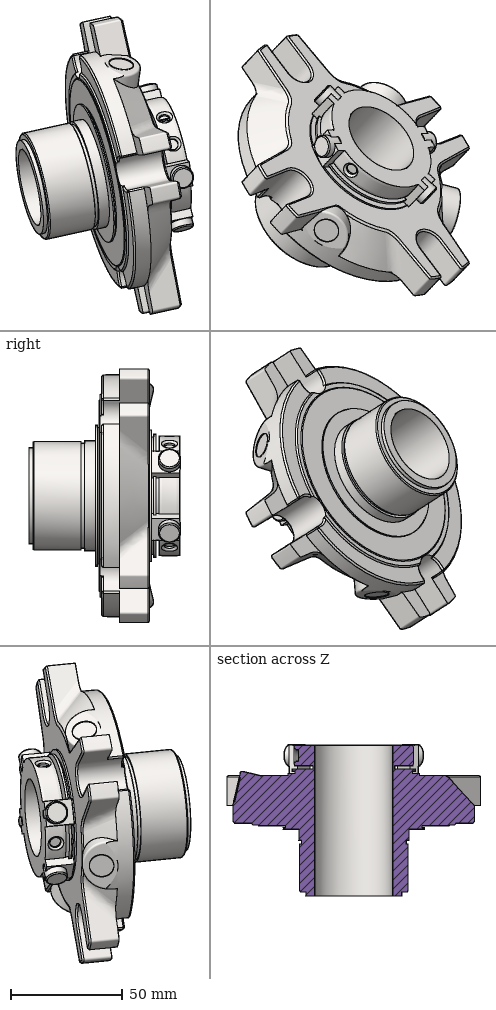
import cadquery as cq
import math

COLLAR_BACK = 27.2
COLLAR_FRONT = 17.9
RING_BACK = 16.5
RING_FRONT = 15.4
PLATE_BACK = 14.5
BODY_BACK = 13.7
FLANGE_FRONT = -8.0
PILOT_FRONT = -8.8
PILOT_STEP_FRONT = -9.1
DISC_BACK = -9.9
DISC_FRONT = -10.7
SHOULDER_FRONT = -15.6
HUB_BACK = -17.2
HUB_FRONT = -38.8
HUB_END = -40.6

BORE_R = 34.9 / 2
SLEEVE_R = 37.0 / 2
COLLAR_R = 53.9 / 2
COLLAR_END_R = COLLAR_R - 0.2
COLLAR_BEVEL = 1.4
RING_R = 55.4 / 2
RING_SEAT_R = 26.4
PLATE_R = 29.6
CONE_SMALL_R = 41.9
FLANGE_R = 54.4
FLANGE_CHAMFER = 0.8
PILOT_R = 46.0
PILOT_CHAMFER = 0.6
PILOT_STEP_R = 43.2
PILOT_STEP_CHAMFER = 0.5
DISC_R = 31.7
DISC_NECK_R = 30.7
SHOULDER_R = 49.6 / 2
HUB_GROOVE_R = 47.2 / 2
HUB_R = 48.9 / 2
HUB_CHAMFER = 0.6
HUB_END_R = 43.2 / 2

LUG_ANGLES = (45, 135, 225, 315)
LUG_TIP_R = 67.5
LUG_TIP_HALF_WIDTH = 15.0
LUG_TAPER_ANGLE = 4.7
LUG_ROOT_R = 34.1
LUG_CORNER_R = 1.0
LUG_BACK_CHAMFER = 0.8
LUG_ROOT_FILLET = 5.2
COVERED_ROOT_FILLET = 1.1
SLOT_WIDTH = 14.8
SLOT_BOTTOM_R = 43.2

PORT_ANGLES = (108, 180, 288)
PORT_COVER_ANGLE = 10
PORT_TILT = 13
PORT_HEIGHT = 7.2
PORT_BOSS_Y = 3.9
PORT_BOSS_R = 12.1
PORT_LENGTH = 15.9
PORT_EDGE_ROUND = 0.9
PORT_RECESS_DIA = 11.0
PORT_RECESS_DEPTH = 0.5

CLIP_ANGLES = (30, 150, 210, 330)
CLIP_INNER_R = 25.9
CLIP_OUTER_R = 30.1
CLIP_WIDTH = 11.4
SCREW_Y = 22.5
SCREW_HEAD_DIA = 10.0
SCREW_HEAD_R = 33.7
SCREW_HEAD_CHAMFER = 0.6

SET_SCREW_ANGLES = (60, 90, 180, 300)
SLOTTED_SCREW_ANGLE = 90
SET_SCREW_DIA = 5.0
SET_SCREW_SINK_DIA = 7.3
SET_SCREW_SINK_DEPTH = 1.1
SET_SCREW_DEPTH = 2.0
DRIVE_SLOT_WIDTH = 1.4
DRIVE_SLOT_DEPTH = 0.7


def radial_plane(angle, radius, y, tilt=0):
    """Plane facing outward at an angle in XZ, its local y leaning along +Y; tilt turns it towards +Y."""
    a = math.radians(angle)
    t = math.radians(tilt)
    normal = (math.cos(a) * math.cos(t), math.sin(t), math.sin(a) * math.cos(t))
    tangent = (math.sin(a), 0, -math.cos(a))
    origin = (radius * math.cos(a), y, radius * math.sin(a))
    return cq.Plane(origin=origin, xDir=tangent, normal=normal)


def revolve_about_y(points):
    """Solid of revolution about Y from (radius, y) points."""
    return cq.Workplane("XY").polyline(points).close().revolve(360, (0, 0, 0), (0, 1, 0))


def make_body():
    """Conical back of the gland, from the flange to the back face."""
    return revolve_about_y(
        [(0, 0), (FLANGE_R, 0), (CONE_SMALL_R, BODY_BACK), (0, BODY_BACK)]
    )


def make_lug(angle):
    """Tapered block that carries one bolt slot, with a rounded tip."""
    taper = math.tan(math.radians(LUG_TAPER_ANGLE))
    half_at_axis = LUG_TIP_HALF_WIDTH + LUG_TIP_R * taper
    reach = LUG_TIP_R * 1.1
    root_half = half_at_axis - LUG_ROOT_R * taper
    tip_half = half_at_axis - reach * taper
    block = (
        cq.Workplane("XZ")
        .polyline([(LUG_ROOT_R, -root_half), (reach, -tip_half), (reach, tip_half), (LUG_ROOT_R, root_half)])
        .close()
        .extrude(-BODY_BACK)
    )
    tip_disc = cq.Workplane("XZ").circle(LUG_TIP_R).extrude(-BODY_BACK)
    return block.intersect(tip_disc).rotate((0, 0, 0), (0, 1, 0), -angle)


def make_slot(angle):
    """Cutter for one open-ended bolt slot."""
    depth = BODY_BACK - DISC_FRONT
    centre = SLOT_BOTTOM_R + SLOT_WIDTH / 2
    length = LUG_TIP_R * 1.1
    cutter = (
        cq.Workplane("XZ", origin=(0, BODY_BACK, 0))
        .center(centre + length / 2, 0)
        .slot2D(length + SLOT_WIDTH, SLOT_WIDTH)
        .extrude(depth)
    )
    return cutter.rotate((0, 0, 0), (0, 1, 0), -angle)


def is_lug_root(edge):
    """True for the curve where a lug flank meets the cone."""
    centre = edge.Center()
    full_depth = edge.BoundingBox().ylen > BODY_BACK - 0.01
    return full_depth and math.hypot(centre.x, centre.z) < FLANGE_R


def is_under_port(edge):
    """True for an edge that a port boss covers."""
    centre = edge.Center()
    bearing = math.degrees(math.atan2(centre.z, centre.x)) % 360
    return any(abs(bearing - angle) < PORT_COVER_ANGLE for angle in PORT_ANGLES)


def is_lug_corner(edge):
    """True for the corners at a lug tip."""
    centre = edge.Center()
    full_depth = edge.BoundingBox().ylen > BODY_BACK - 0.01
    return full_depth and math.hypot(centre.x, centre.z) > LUG_TIP_R - 1.1


def is_rim_corner(edge):
    """True for the corners where a slot breaks out through the flange rim."""
    centre = edge.Center()
    return math.hypot(centre.x, centre.z) > FLANGE_R - FLANGE_CHAMFER


def make_gland_back():
    """Body behind the seating face: the cone and its slotted lugs."""
    gland = make_body()
    for angle in LUG_ANGLES:
        gland = gland.union(make_lug(angle))
    roots = [edge for edge in gland.edges().vals() if is_lug_root(edge)]
    gland = gland.newObject([edge for edge in roots if not is_under_port(edge)]).fillet(LUG_ROOT_FILLET)
    roots = [edge for edge in gland.edges().vals() if is_lug_root(edge) and is_under_port(edge)]
    gland = gland.newObject(roots).fillet(COVERED_ROOT_FILLET)
    for angle in LUG_ANGLES:
        gland = gland.cut(make_slot(angle))
    gland = gland.newObject([e for e in gland.edges().vals() if is_lug_corner(e)]).fillet(LUG_CORNER_R)
    gland = gland.faces(">Y").edges().chamfer(LUG_BACK_CHAMFER)
    return gland


def make_port(angle):
    """Boss with a half-round top, its tilted face carrying a shallow round recess."""
    face = radial_plane(angle, FLANGE_R, 0, PORT_TILT)
    slant = math.cos(math.radians(PORT_TILT))
    boss_centre = PORT_BOSS_Y / slant
    recess_centre = PORT_HEIGHT / slant
    boss = (
        cq.Workplane(face)
        .moveTo(-PORT_BOSS_R, -PORT_BOSS_R)
        .lineTo(PORT_BOSS_R, -PORT_BOSS_R)
        .lineTo(PORT_BOSS_R, boss_centre)
        .threePointArc((0, boss_centre + PORT_BOSS_R), (-PORT_BOSS_R, boss_centre))
        .close()
        .extrude(-PORT_LENGTH)
        .faces(cq.selectors.DirectionMinMaxSelector(face.zDir, True))
        .edges()
        .fillet(PORT_EDGE_ROUND)
    )
    recess = (
        cq.Workplane(face).center(0, recess_centre).circle(PORT_RECESS_DIA / 2).extrude(-PORT_RECESS_DEPTH)
    )
    envelope = cq.Workplane("XZ").circle(FLANGE_R).extrude(-2 * BODY_BACK)
    return boss.cut(recess).intersect(envelope)


def make_flange_front():
    """Flange rim, stepped pilot and thin disc in front of the seating face."""
    rim = cq.Workplane("XZ").circle(FLANGE_R).extrude(-FLANGE_FRONT)
    for angle in LUG_ANGLES:
        rim = rim.cut(make_slot(angle))
    rim = rim.newObject([edge for edge in rim.edges("|Y").vals() if is_rim_corner(edge)]).chamfer(FLANGE_CHAMFER)
    rim = rim.faces("<Y").edges().chamfer(FLANGE_CHAMFER)
    pilot = revolve_about_y(
        [
            (0, 0),
            (PILOT_R, 0),
            (PILOT_R, FLANGE_FRONT),
            (PILOT_R - PILOT_CHAMFER, PILOT_FRONT),
            (PILOT_STEP_R, PILOT_FRONT),
            (PILOT_STEP_R - PILOT_STEP_CHAMFER, PILOT_STEP_FRONT),
            (DISC_NECK_R, PILOT_STEP_FRONT),
            (DISC_NECK_R, DISC_BACK),
            (DISC_R, DISC_BACK),
            (DISC_R, DISC_FRONT),
            (0, DISC_FRONT),
        ]
    )
    for angle in LUG_ANGLES:
        pilot = pilot.cut(make_slot(angle))
    return rim.union(pilot)


def make_hub():
    """Stepped hub that projects forward from the disc."""
    return revolve_about_y(
        [
            (0, 0),
            (SHOULDER_R, 0),
            (SHOULDER_R, SHOULDER_FRONT),
            (HUB_GROOVE_R, SHOULDER_FRONT),
            (HUB_GROOVE_R, HUB_BACK),
            (HUB_R, HUB_BACK),
            (HUB_R, HUB_FRONT + HUB_CHAMFER),
            (HUB_R - HUB_CHAMFER, HUB_FRONT),
            (HUB_END_R, HUB_FRONT),
            (HUB_END_R, HUB_END),
            (0, HUB_END),
        ]
    )


def make_drive_collar():
    """Back plate, ring, sleeve and drive collar behind the gland."""
    return revolve_about_y(
        [
            (0, 0),
            (PLATE_R, 0),
            (PLATE_R, PLATE_BACK),
            (RING_SEAT_R, PLATE_BACK),
            (RING_SEAT_R, RING_FRONT),
            (RING_R, RING_FRONT),
            (RING_R, RING_BACK),
            (SLEEVE_R, RING_BACK),
            (SLEEVE_R, COLLAR_FRONT),
            (COLLAR_END_R, COLLAR_FRONT),
            (COLLAR_R, COLLAR_FRONT + COLLAR_BEVEL),
            (COLLAR_R, COLLAR_BACK - COLLAR_BEVEL),
            (COLLAR_END_R, COLLAR_BACK),
            (0, COLLAR_BACK),
        ]
    )


def make_clip(angle):
    """Flat setting clip with its screw head."""
    clip_height = COLLAR_BACK - PLATE_BACK
    clip = (
        cq.Workplane(radial_plane(angle, CLIP_INNER_R, PLATE_BACK + clip_height / 2))
        .rect(CLIP_WIDTH, clip_height)
        .extrude(CLIP_OUTER_R - CLIP_INNER_R)
    )
    head = (
        cq.Workplane(radial_plane(angle, CLIP_INNER_R, SCREW_Y))
        .circle(SCREW_HEAD_DIA / 2)
        .extrude(SCREW_HEAD_R - CLIP_INNER_R)
        .faces(cq.selectors.DirectionMinMaxSelector(radial_plane(angle, 0, 0).zDir, True))
        .chamfer(SCREW_HEAD_CHAMFER)
    )
    return clip.union(head)


def make_set_screw_hole(angle):
    """Cutter for one countersunk set screw hole in the collar."""
    surface = radial_plane(angle, COLLAR_R, SCREW_Y)
    hole = cq.Workplane(surface).circle(SET_SCREW_DIA / 2).extrude(-SET_SCREW_DEPTH)
    sink = (
        cq.Workplane(surface)
        .circle(SET_SCREW_SINK_DIA / 2)
        .workplane(offset=-SET_SCREW_SINK_DEPTH)
        .circle(SET_SCREW_DIA / 2)
        .loft()
    )
    cutter = hole.union(sink)
    if angle == SLOTTED_SCREW_ANGLE:
        slot = (
            cq.Workplane(radial_plane(angle, COLLAR_R - SET_SCREW_DEPTH, SCREW_Y))
            .rect(DRIVE_SLOT_WIDTH, SET_SCREW_DIA)
            .extrude(-DRIVE_SLOT_DEPTH)
        )
        cutter = cutter.union(slot)
    return cutter


result = make_gland_back().union(make_flange_front()).union(make_hub()).union(make_drive_collar())
for port_angle in PORT_ANGLES:
    result = result.union(make_port(port_angle))
for clip_angle in CLIP_ANGLES:
    result = result.union(make_clip(clip_angle))
for screw_angle in SET_SCREW_ANGLES:
    result = result.cut(make_set_screw_hole(screw_angle))
bore = cq.Workplane("XZ", origin=(0, COLLAR_BACK, 0)).circle(BORE_R).extrude(COLLAR_BACK - HUB_END)
result = result.cut(bore)